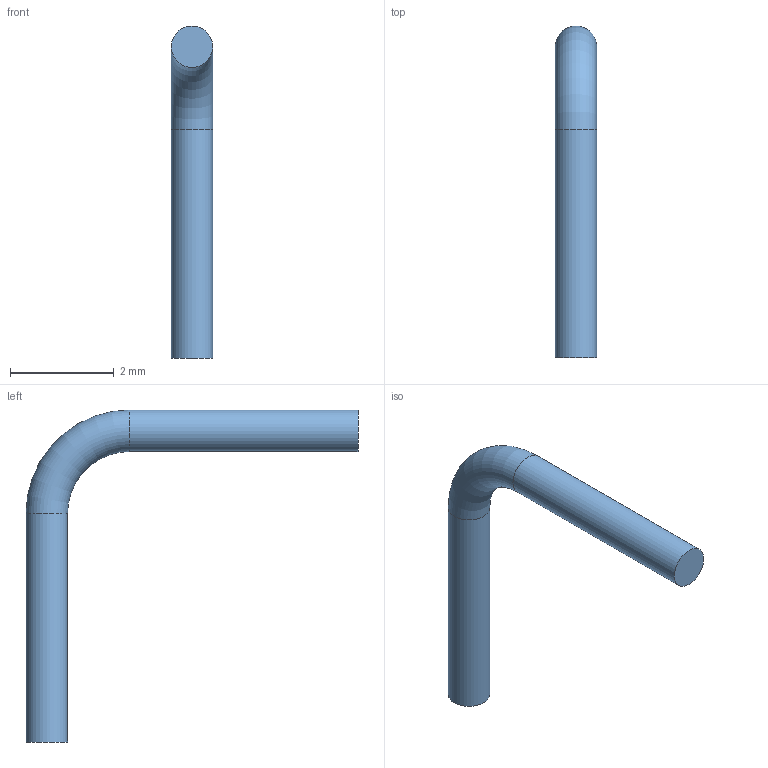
import cadquery as cq

rod_diameter = 0.8
leg_length = 6.4
outer_bend_radius = 2.0

rod_radius = rod_diameter / 2
bend_radius = outer_bend_radius - rod_radius
straight_length = leg_length - outer_bend_radius


def bent_centreline():
    """Upward leg, quarter-circle bend and horizontal leg toward -Y, in the YZ plane."""
    return (
        cq.Workplane("YZ")
        .lineTo(0, straight_length)
        .tangentArcPoint((-bend_radius, bend_radius), relative=True)
        .line(-straight_length, 0)
    )


result = cq.Workplane("XY").circle(rod_radius).sweep(bent_centreline())